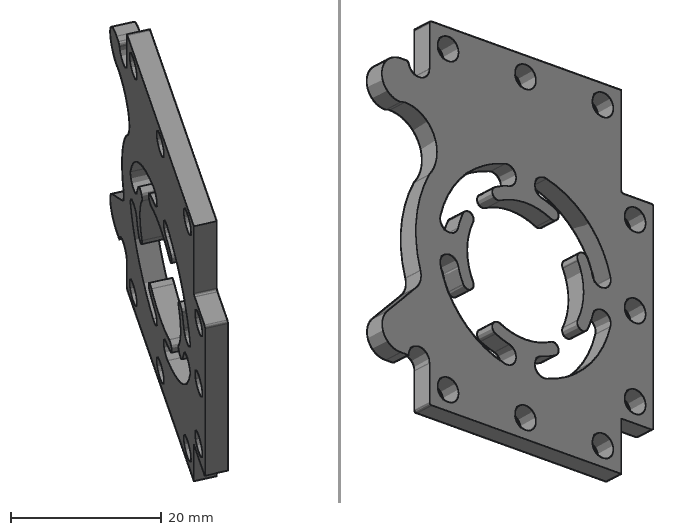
import cadquery as cq
import math

thickness = 3.2
top_z = 31.85
bottom_z = top_z - 56.65
body_half_width = 16.65
tab_right_x = 22.2
tab_half_height = 16.65
corner_radius = 0.35

hole_radius = 1.8
hole_pitch = 13.4
hole_edge_distance = 3.2

notch_radius = 1.8
notch_x = -body_half_width - notch_radius
hook_x = -21.7
upper_hook_z = 21.5
upper_hook_radius = 3.25
upper_notch_z = upper_hook_z + upper_hook_radius
notch_tip_fillet = 0.55
lower_hook_z = -15.45
lower_hook_radius = 3.2
lower_notch_z = lower_hook_z - lower_hook_radius
scoop_x = -21.0
scoop_z = 12.8
scoop_radius = 5.65
rim_radius = 19.05
ramp_normal_angle = 135
ramp_fillet = 2.8

bore_radius = 10.1
finger_half_angle = 25.8
slot_width = 3.2
slot_outer_radius = 15.2
slot_inner_radius = slot_outer_radius - slot_width
slot_end_angle = 13.7
quarter_angles = (0, 90, 180, 270)


def polar(radius, degrees, center=(0, 0)):
    angle = math.radians(degrees)
    return (center[0] + radius * math.cos(angle), center[1] + radius * math.sin(angle))


def disc(center, radius):
    return cq.Workplane("XZ").center(*center).circle(radius).extrude(-thickness)


def plate_block(left, right, bottom, top):
    return (
        cq.Workplane("XZ")
        .center((left + right) / 2, (bottom + top) / 2)
        .rect(right - left, top - bottom)
        .extrude(-thickness)
    )


def fillet_corner(solid, corner, radius):
    """Round the one edge through the plate at the given (x, z) corner."""
    nearest = cq.selectors.NearestToPointSelector((corner[0], thickness / 2, corner[1]))
    return solid.edges("|Y").edges(nearest).fillet(radius)


def make_left_edge():
    """Hooks, scoop, rim and ramp, closed along the left side of the body."""
    lower_hook = (hook_x, lower_hook_z)
    upper_notch_tip = (notch_x - notch_radius, upper_notch_z)
    hook_bottom = (hook_x, upper_hook_z - upper_hook_radius)
    scoop_top = (scoop_x, scoop_z + scoop_radius)

    scoop_distance = math.hypot(scoop_x, scoop_z)
    along = (scoop_distance**2 + rim_radius**2 - scoop_radius**2) / (2 * scoop_distance)
    rim_top_angle = math.degrees(math.atan2(scoop_z, scoop_x) + math.acos(along / rim_radius))
    rim_top = polar(rim_radius, rim_top_angle)

    ramp_bottom = polar(lower_hook_radius, ramp_normal_angle, lower_hook)
    lower_hook_side = polar(lower_hook_radius, (ramp_normal_angle + 270) / 2, lower_hook)
    ramp_rise = ramp_bottom[1] - ramp_bottom[0]
    ramp_top_x = (-ramp_rise - math.sqrt(2 * rim_radius**2 - ramp_rise**2)) / 2
    ramp_top = (ramp_top_x, ramp_top_x + ramp_rise)

    edge = (
        cq.Workplane("XZ")
        .moveTo(-body_half_width, upper_notch_z)
        .threePointArc((notch_x, upper_notch_z - notch_radius), upper_notch_tip)
        .lineTo(hook_x, upper_notch_z)
        .threePointArc((hook_x - upper_hook_radius, upper_hook_z), hook_bottom)
        .lineTo(*scoop_top)
        .threePointArc((scoop_x + scoop_radius, scoop_z), rim_top)
        .threePointArc((-rim_radius, 0), ramp_top)
        .lineTo(*ramp_bottom)
        .threePointArc(lower_hook_side, (hook_x, lower_notch_z))
        .lineTo(notch_x - notch_radius, lower_notch_z)
        .threePointArc((notch_x, lower_notch_z + notch_radius), (-body_half_width, lower_notch_z))
        .lineTo(0, lower_notch_z)
        .lineTo(0, upper_notch_z)
        .close()
        .extrude(-thickness)
    )
    edge = fillet_corner(edge, ramp_top, ramp_fillet)
    return fillet_corner(edge, upper_notch_tip, notch_tip_fillet)


def make_plate():
    body = plate_block(-body_half_width, body_half_width, bottom_z, top_z)
    body = body.edges("|Y and <X").fillet(corner_radius)
    tab = plate_block(0, tab_right_x, -tab_half_height, tab_half_height)
    tab = tab.edges("|Y and >X").fillet(corner_radius)
    body = body.cut(disc((scoop_x, scoop_z), scoop_radius))
    plate = body.union(tab).union(make_left_edge())
    return fillet_corner(plate, (body_half_width, tab_half_height), corner_radius)


def arc_band(inner, outer, start, end):
    """Band between two radii, with fully rounded ends."""
    middle = (start + end) / 2
    mid_radius = (inner + outer) / 2
    band = (
        cq.Workplane("XZ")
        .moveTo(*polar(outer, start))
        .threePointArc(polar(outer, middle), polar(outer, end))
        .lineTo(*polar(inner, end))
        .threePointArc(polar(inner, middle), polar(inner, start))
        .close()
        .extrude(-thickness)
    )
    for angle in (start, end):
        band = band.union(disc(polar(mid_radius, angle), (outer - inner) / 2))
    return band


def make_ring_opening():
    """Bore and four slots, leaving the fingers on stems along the axes."""
    opening = disc((0, 0), slot_inner_radius)
    for axis in quarter_angles:
        finger = arc_band(
            bore_radius, slot_inner_radius, axis - finger_half_angle, axis + finger_half_angle
        )
        opening = opening.cut(finger)
    for axis in quarter_angles:
        slot = arc_band(
            slot_inner_radius, slot_outer_radius, axis + slot_end_angle, axis + 90 - slot_end_angle
        )
        opening = opening.union(slot)
    return opening


def make_holes():
    """Rows of three holes along the top, the bottom and the tab."""
    centers = []
    for offset in (-hole_pitch, 0, hole_pitch):
        centers.append((offset, top_z - hole_edge_distance))
        centers.append((offset, bottom_z + hole_edge_distance))
        centers.append((tab_right_x - hole_edge_distance, offset))
    return cq.Workplane("XZ").pushPoints(centers).circle(hole_radius).extrude(-thickness)


result = make_plate().cut(make_ring_opening()).cut(make_holes())